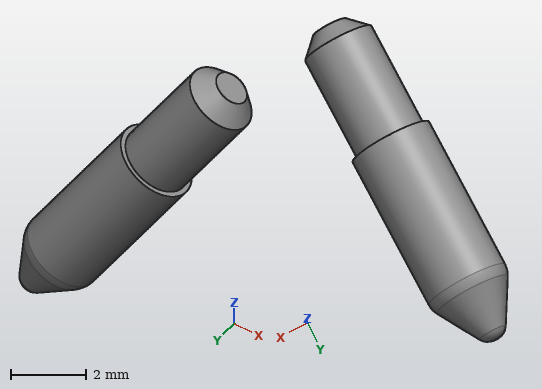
import cadquery as cq
import math

total_length = 9.5
head_radius = 1.15

tail_length = 3.5
tail_radius = 1.0
tail_chamfer = tail_radius / 2

nose_length = 1.5
nose_half_angle = math.radians(30)
shoulder_round = 0.6
tip_round = 0.4

edge_margin = 0.095

tail_end_y = -total_length / 2
joint_y = tail_end_y + tail_length
tip_y = total_length / 2
nose_base_y = tip_y - nose_length

nose_tip_radius = head_radius - nose_length * math.tan(nose_half_angle)


def cylinder_along_y(radius, start_y, end_y):
    """Solid cylinder on the Y axis between two positions."""
    start_plane = cq.Workplane("XZ", origin=(0, start_y, 0))
    return start_plane.circle(radius).extrude(start_y - end_y)


def make_head():
    """Guide head: cylinder and cone, rounded at the shoulder and at the tip."""
    profile = (
        cq.Workplane("XY")
        .moveTo(0, joint_y)
        .lineTo(head_radius, joint_y)
        .lineTo(head_radius, nose_base_y)
        .lineTo(nose_tip_radius, tip_y)
        .lineTo(0, tip_y)
        .close()
    )
    head = profile.revolve(360, (0, 0, 0), (0, 1, 0))
    shoulder_edge = cq.selectors.BoxSelector(
        (-head_radius, nose_base_y - edge_margin, -head_radius),
        (head_radius, nose_base_y + edge_margin, head_radius),
    )
    head = head.edges("%CIRCLE").edges(shoulder_edge).fillet(shoulder_round)
    return head.faces(">Y").edges().fillet(tip_round)


def make_tail():
    """Shank that butts against the back of the head."""
    tail = cylinder_along_y(tail_radius, tail_end_y, joint_y)
    return tail.faces("<Y").edges().chamfer(tail_chamfer)


head = make_head()
tail = make_tail()

result = cq.Compound.makeCompound([head.val(), tail.val()])